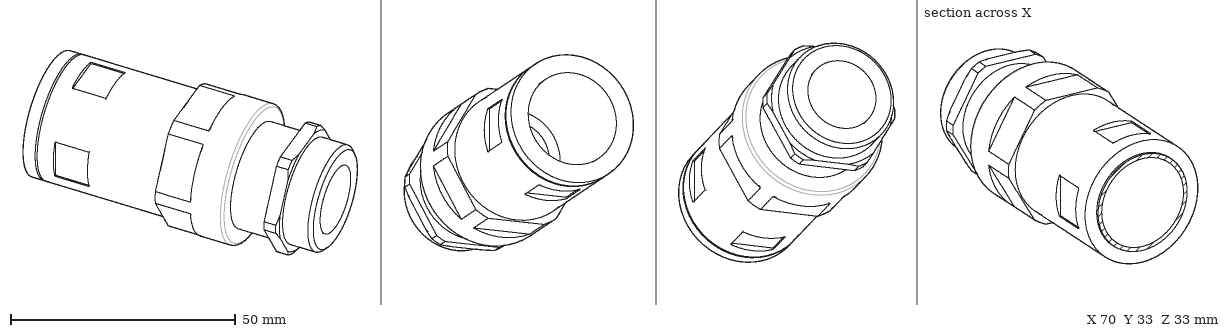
import cadquery as cq
import math

total_length = 70.0
groove_start = 3.0
groove_end = 3.5
flat_start = 7.5
flat_end = 15.9
hex_start = 33.4
hex_end = 42.0
collar_end = 50.05
nut_start = 59.5
nut_end = 62.85

sleeve_diameter = 29.5
groove_diameter = 23.4
collar_diameter = 33.0
thread_diameter = 25.0
thread_tip_diameter = 23.2
mouth_diameter = 21.2
bore_diameter = 16.0

hex_across_flats = 30.1
sleeve_flat_spacing = 27.0
sleeve_flat_width = 9.95
sleeve_flat_corner_radius = 0.35
collar_fillet = 0.6
thread_chamfer = (thread_diameter - thread_tip_diameter) / 2

nut_across_flats = 27.15
nut_corner_diameter = 30.1
nut_face_diameter = 28.3
nut_chamfer_angle = 28.0


def cylinder(diameter, start, end):
    """Cylinder on the X axis between two stations."""
    return cq.Workplane("YZ", origin=(start, 0, 0)).circle(diameter / 2).extrude(end - start)


def hex_prism(across_flats, start, end):
    """Hexagonal prism along X with flats facing +Z and -Z."""
    corner_distance = across_flats / math.cos(math.pi / 6)
    return cq.Workplane("YZ", origin=(start, 0, 0)).polygon(6, corner_distance).extrude(end - start)


def make_sleeve_flat():
    """Cutter for the shallow rectangular flat on the +Z side of the sleeve."""
    flat_length = flat_end - flat_start
    return (
        cq.Workplane("XY", origin=((flat_start + flat_end) / 2, 0, sleeve_flat_spacing / 2))
        .rect(flat_length, sleeve_flat_width)
        .extrude(sleeve_diameter - sleeve_flat_spacing)
        .edges("|Z and <X")
        .fillet(sleeve_flat_corner_radius)
    )


def make_gland_body():
    body = cylinder(sleeve_diameter, 0, groove_start)
    body = body.union(cylinder(groove_diameter, groove_start, groove_end))
    body = body.union(cylinder(sleeve_diameter, groove_end, hex_start))

    rounded_hex = hex_prism(hex_across_flats, hex_start, hex_end).intersect(
        cylinder(collar_diameter, hex_start, hex_end)
    )
    body = body.union(rounded_hex)

    collar = cylinder(collar_diameter, hex_end, collar_end).edges(">X").fillet(collar_fillet)
    thread = cylinder(thread_diameter, collar_end, total_length).edges(">X").chamfer(thread_chamfer)
    body = body.union(collar).union(thread)

    flat = make_sleeve_flat()
    for angle in (0, 90, 180, 270):
        body = body.cut(flat.rotate((0, 0, 0), (1, 0, 0), angle))

    body = body.cut(cylinder(mouth_diameter, 0, hex_start))
    return body.cut(cylinder(bore_diameter, hex_start, total_length))


def make_locknut():
    nut_radius = nut_corner_diameter / 2
    face_radius = nut_face_diameter / 2
    chamfer_depth = (nut_radius - face_radius) * math.tan(math.radians(nut_chamfer_angle))

    blank = (
        cq.Workplane("XY")
        .moveTo(nut_start, 0)
        .lineTo(nut_start, nut_radius)
        .lineTo(nut_end - chamfer_depth, nut_radius)
        .lineTo(nut_end, face_radius)
        .lineTo(nut_end, 0)
        .close()
        .revolve(360, (0, 0, 0), (1, 0, 0))
    )
    nut = hex_prism(nut_across_flats, nut_start, nut_end).intersect(blank)
    return nut.cut(cylinder(thread_diameter, nut_start, nut_end))


gland_body = make_gland_body()
locknut = make_locknut()

result = cq.Compound.makeCompound([gland_body.val(), locknut.val()])